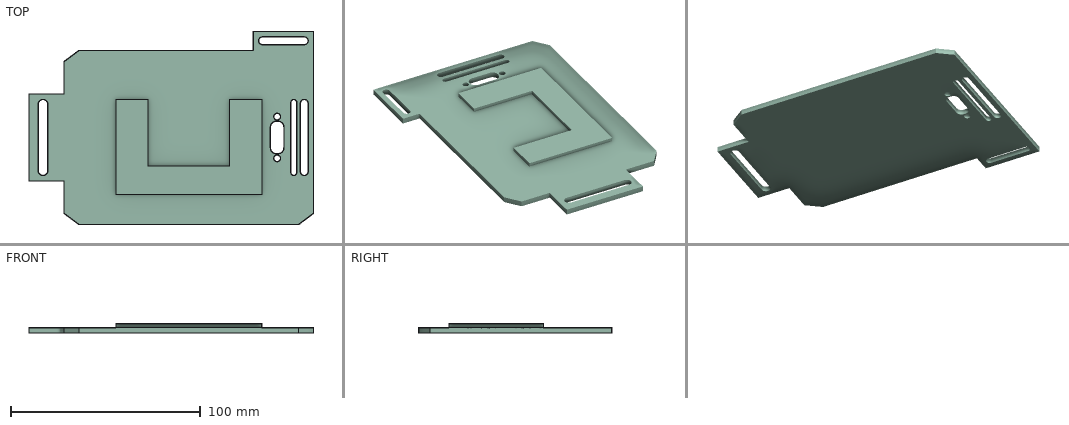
import cadquery as cq

BODY_LENGTH = 131.8
BODY_WIDTH = 92.0
PLATE_THICKNESS = 3.0
CORNER_CUT_X = 8.0
CORNER_CUT_Y = 6.0

LEFT_TAB_REACH = 18.5
LEFT_TAB_WIDTH = 46.0
BACK_TAB_REACH = 10.0
BACK_TAB_LENGTH = 32.0

SLOT_MARGIN = 3.0
LEFT_SLOT_WIDTH = 5.0
LEFT_SLOT_INSET = 5.0
BACK_SLOT_WIDTH = 4.0
OUTER_SLOT_WIDTH = 4.0
INNER_SLOT_WIDTH = 3.0
SLOT_SPACING = 2.0

CONNECTOR_INSET = 19.3
CONNECTOR_LENGTH = 17.0
CONNECTOR_WIDTH = 7.0
CONNECTOR_RADIUS = 3.0
SCREW_HOLE_DIAMETER = 3.4
SCREW_HOLE_PITCH = 22.0

PAD_LENGTH = 77.0
PAD_BACK_Y = 20.0
PAD_FRONT_Y = -30.0
PAD_LEG_WIDTH = 17.0
PAD_BASE_WIDTH = 15.0
PAD_HEIGHT = 2.0

RIGHT_X = BODY_LENGTH / 2
LEFT_X = -RIGHT_X
BACK_Y = BODY_WIDTH / 2
FRONT_Y = -BACK_Y
TAB_LEFT_X = LEFT_X - LEFT_TAB_REACH
TAB_BACK_Y = BACK_Y + BACK_TAB_REACH
LONG_SLOT_LENGTH = LEFT_TAB_WIDTH - 2 * SLOT_MARGIN
BACK_SLOT_LENGTH = BACK_TAB_LENGTH - 2 * SLOT_MARGIN


def make_plate():
    """Flat plate with both tabs and three cut corners."""
    outline = [
        (LEFT_X + CORNER_CUT_X, FRONT_Y),
        (RIGHT_X - CORNER_CUT_X, FRONT_Y),
        (RIGHT_X, FRONT_Y + CORNER_CUT_Y),
        (RIGHT_X, TAB_BACK_Y),
        (RIGHT_X - BACK_TAB_LENGTH, TAB_BACK_Y),
        (RIGHT_X - BACK_TAB_LENGTH, BACK_Y),
        (LEFT_X + CORNER_CUT_X, BACK_Y),
        (LEFT_X, BACK_Y - CORNER_CUT_Y),
        (LEFT_X, LEFT_TAB_WIDTH / 2),
        (TAB_LEFT_X, LEFT_TAB_WIDTH / 2),
        (TAB_LEFT_X, -LEFT_TAB_WIDTH / 2),
        (LEFT_X, -LEFT_TAB_WIDTH / 2),
        (LEFT_X, FRONT_Y + CORNER_CUT_Y),
    ]
    return cq.Workplane("XY").polyline(outline).close().extrude(PLATE_THICKNESS)


def make_slot(x, y, length, width, angle):
    """Through-cutter for a round-ended slot; angle is measured from +X."""
    return cq.Workplane("XY").center(x, y).slot2D(length, width, angle).extrude(PLATE_THICKNESS)


def cut_strap_slots(plate):
    """Cut the slots of the left tab, the back tab and the right edge."""
    left_slot_x = TAB_LEFT_X + LEFT_SLOT_INSET + LEFT_SLOT_WIDTH / 2
    outer_slot_x = RIGHT_X - SLOT_MARGIN - OUTER_SLOT_WIDTH / 2
    inner_slot_x = outer_slot_x - (OUTER_SLOT_WIDTH + INNER_SLOT_WIDTH) / 2 - SLOT_SPACING
    long_slots = [
        (left_slot_x, LEFT_SLOT_WIDTH),
        (outer_slot_x, OUTER_SLOT_WIDTH),
        (inner_slot_x, INNER_SLOT_WIDTH),
    ]
    for x, width in long_slots:
        plate = plate.cut(make_slot(x, 0, LONG_SLOT_LENGTH, width, 90))

    back_slot_x = RIGHT_X - BACK_TAB_LENGTH / 2
    back_slot_y = TAB_BACK_Y - SLOT_MARGIN - BACK_SLOT_WIDTH / 2
    return plate.cut(make_slot(back_slot_x, back_slot_y, BACK_SLOT_LENGTH, BACK_SLOT_WIDTH, 0))


def cut_connector(plate):
    """Cut the rounded connector window and its two screw holes."""
    base = cq.Workplane("XY").center(RIGHT_X - CONNECTOR_INSET, 0)
    window = (
        base.rect(CONNECTOR_WIDTH, CONNECTOR_LENGTH)
        .extrude(PLATE_THICKNESS)
        .edges("|Z")
        .fillet(CONNECTOR_RADIUS)
    )
    screw_holes = (
        base.pushPoints([(0, -SCREW_HOLE_PITCH / 2), (0, SCREW_HOLE_PITCH / 2)])
        .circle(SCREW_HOLE_DIAMETER / 2)
        .extrude(PLATE_THICKNESS)
    )
    return plate.cut(window).cut(screw_holes)


def make_pad():
    """U-shaped pad standing on the top face of the plate."""
    outer_x = PAD_LENGTH / 2
    inner_x = outer_x - PAD_LEG_WIDTH
    inner_y = PAD_FRONT_Y + PAD_BASE_WIDTH
    outline = [
        (-outer_x, PAD_FRONT_Y),
        (outer_x, PAD_FRONT_Y),
        (outer_x, PAD_BACK_Y),
        (inner_x, PAD_BACK_Y),
        (inner_x, inner_y),
        (-inner_x, inner_y),
        (-inner_x, PAD_BACK_Y),
        (-outer_x, PAD_BACK_Y),
    ]
    return cq.Workplane("XY", origin=(0, 0, PLATE_THICKNESS)).polyline(outline).close().extrude(PAD_HEIGHT)


result = cut_connector(cut_strap_slots(make_plate())).union(make_pad())